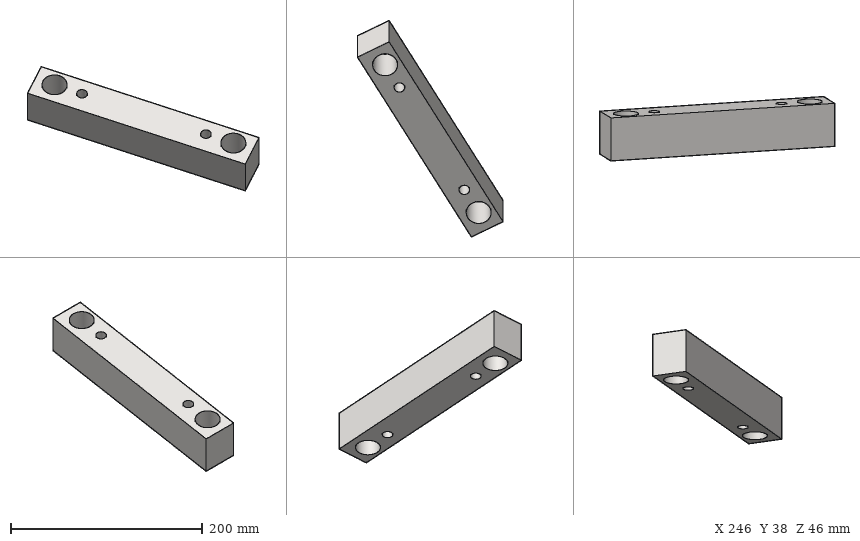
import cadquery as cq

length = 246.0
width = 38.0
height = 46.0

hole_line_offset = 2.0
large_diameter = 26.0
large_spacing = 202.0
small_diameter = 11.0
small_spacing = 140.0


def drill_pair(body, diameter, spacing):
    """Drill two through holes, the given distance apart along X."""
    centers = [(side * spacing / 2, hole_line_offset) for side in (-1, 1)]
    return body.faces(">Z").workplane(origin=(0, 0, 0)).pushPoints(centers).hole(diameter)


result = cq.Workplane("XY").box(length, width, height)
result = drill_pair(result, large_diameter, large_spacing)
result = drill_pair(result, small_diameter, small_spacing)